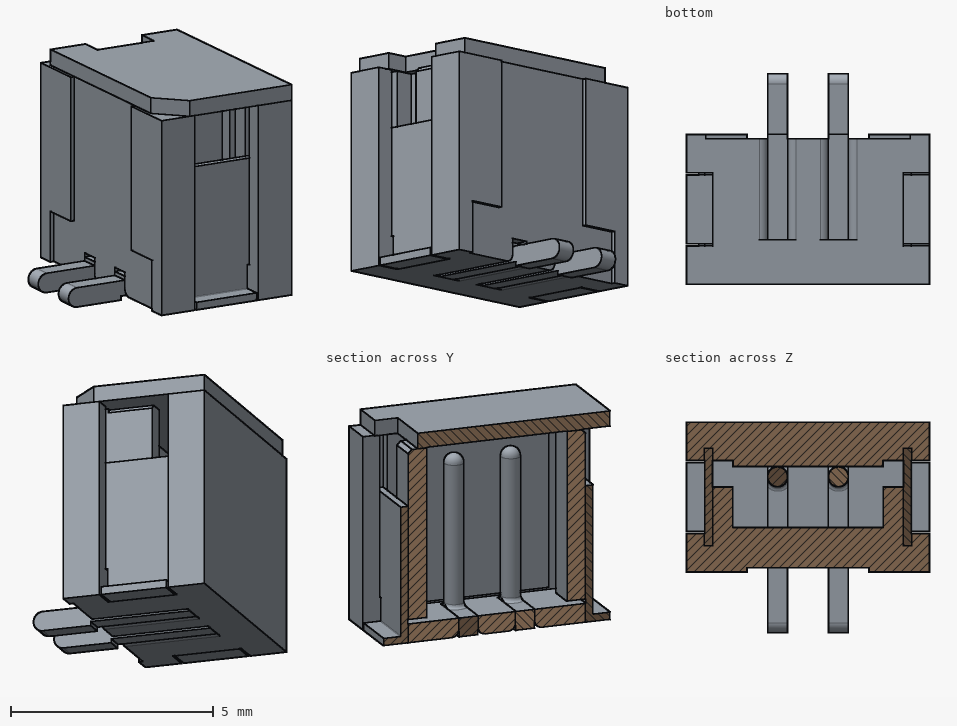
import cadquery as cq


LENGTH = 6.0
DEPTH = 3.7
HEIGHT = 5.0
CENTRE_Y = -DEPTH / 2
RELIEF = 0.1
FRONT_FACE_Y = RELIEF - DEPTH
PAD_WIDTH = 1.5
PAD_FOOT_WIDTH = 0.475
PAD_STEP_Z = 1.3

FLOOR_Z = 0.6
END_WALL_X = 0.65
END_WALL_THICKNESS = 0.5
CAVITY_X = END_WALL_X + END_WALL_THICKNESS
END_CHAMFER = 0.1

PIN_SIZE = 0.5
PIN_PITCH = 1.5
PIN_Y = -1.35
PIN_XS = [LENGTH / 2 - PIN_PITCH / 2, LENGTH / 2 + PIN_PITCH / 2]
PIN_BACK_Y = PIN_Y + PIN_SIZE / 2
PIN_INNER_Y = PIN_Y - PIN_SIZE / 2
PIN_BASE_TOP = 0.5
PIN_TIP_Z = 4.45
POST_FILLET = 0.1
TAIL_LENGTH = 1.5
TAIL_BOTTOM = -0.1
TAIL_TOP = TAIL_BOTTOM + PIN_SIZE
CHANNEL_ROUNDING = 0.2

OPENING_WIDTH = 1.8
TAB_THICKNESS = 0.2
TAB_OUTER_X = END_WALL_X - TAB_THICKNESS
TAB_FOOT_WIDTH = 1.7
TAB_PLATE_WIDTH = 2.4
TAB_PLATE_BOTTOM = 0.805
TAB_TOP = 3.54
TAB_BEND_RADIUS = 0.01

CAP_THICKNESS = 0.4
CAP_CENTRE_Y = FRONT_FACE_Y / 2
CAP_SETBACK = 0.3
CAP_NOTCH_END_X = 0.9
CAP_NOTCH_WIDTH = 1.6
CAP_CORNER = 0.7

OPENING_BACK_Y = CENTRE_Y + OPENING_WIDTH / 2
CAVITY_WIDTH = 2 * (PIN_BACK_Y - CENTRE_Y)


def block(x_range, y_range, z_range):
    """Box spanning the given ranges."""
    (x0, x1), (y0, y1), (z0, z1) = x_range, y_range, z_range
    return cq.Workplane("XY").box(x1 - x0, y1 - y0, z1 - z0, centered=False).translate((x0, y0, z0))


def centred_block(x_range, width, z_range):
    """Box with its width in Y centred on the housing depth."""
    return block(x_range, (CENTRE_Y - width / 2, CENTRE_Y + width / 2), z_range)


def mirrored(body):
    """The same body at the opposite X end of the connector."""
    return body.mirror("YZ", (LENGTH / 2, 0, 0))


def front_relief():
    """Shallow setback of the front face, wider near the underside."""
    y_range = (-DEPTH, FRONT_FACE_Y)
    upper = block((PAD_WIDTH, LENGTH - PAD_WIDTH), y_range, (0, HEIGHT))
    lower = block((PAD_FOOT_WIDTH, LENGTH - PAD_FOOT_WIDTH), y_range, (0, PAD_STEP_Z))
    return upper.union(lower)


def end_cutout():
    """Opening, tab slot, end-wall notch and end-wall chamfer at the low-X end."""
    opening = centred_block((0, END_WALL_X), OPENING_WIDTH, (0, HEIGHT))
    tab_slot = centred_block((TAB_OUTER_X, END_WALL_X), TAB_PLATE_WIDTH, (TAB_PLATE_BOTTOM, HEIGHT))
    notch = block((END_WALL_X, CAVITY_X), (PIN_INNER_Y, OPENING_BACK_Y), (FLOOR_Z, HEIGHT))
    chamfer = (
        cq.Workplane("XZ", origin=(END_WALL_X, OPENING_BACK_Y, HEIGHT))
        .polyline([(0, 0), (END_CHAMFER, 0), (0, -END_CHAMFER)])
        .close()
        .extrude(OPENING_WIDTH)
    )
    return opening.union(tab_slot).union(notch).union(chamfer)


def pin_channel(x):
    """Slot from the front face to the post, with rounded lower edges."""
    half = PIN_SIZE / 2
    flared = half + CHANNEL_ROUNDING
    return (
        cq.Workplane("XZ", origin=(x, PIN_BACK_Y, 0))
        .moveTo(-flared, 0)
        .radiusArc((-half, CHANNEL_ROUNDING), -CHANNEL_ROUNDING)
        .lineTo(-half, FLOOR_Z)
        .lineTo(half, FLOOR_Z)
        .lineTo(half, CHANNEL_ROUNDING)
        .radiusArc((flared, 0), -CHANNEL_ROUNDING)
        .close()
        .extrude(PIN_BACK_Y + DEPTH)
    )


def make_housing():
    body = block((0, LENGTH), (-DEPTH, 0), (0, HEIGHT))
    body = body.cut(front_relief())
    body = body.cut(centred_block((CAVITY_X, LENGTH - CAVITY_X), CAVITY_WIDTH, (FLOOR_Z, HEIGHT)))
    body = body.cut(
        centred_block((END_WALL_X, LENGTH - END_WALL_X), OPENING_WIDTH, (PIN_BASE_TOP, FLOOR_Z))
    )
    for cutout in (end_cutout(), mirrored(end_cutout())):
        body = body.cut(cutout)
    for x in PIN_XS:
        body = body.cut(pin_channel(x))
    return body


def post_root(x):
    """Fillet where the post meets the base, trimmed to the width of the base."""
    radius = PIN_SIZE / 2
    ring_radius = radius + POST_FILLET
    flare = (
        cq.Workplane("XZ", origin=(x, PIN_Y, PIN_BASE_TOP))
        .lineTo(ring_radius, 0)
        .radiusArc((radius, POST_FILLET), POST_FILLET)
        .lineTo(0, POST_FILLET)
        .close()
        .revolve(360, (0, 0), (0, 1))
    )
    trim = block(
        (x - radius, x + radius),
        (PIN_Y - ring_radius, PIN_BACK_Y),
        (PIN_BASE_TOP, PIN_BASE_TOP + POST_FILLET),
    )
    return flare.intersect(trim)


def make_pin(x):
    """Square base and round-nosed tail in one side outline, with a domed round post."""
    nose_radius = PIN_SIZE / 2
    nose_y = -DEPTH - TAIL_LENGTH
    base = (
        cq.Workplane("YZ", origin=(x - PIN_SIZE / 2, 0, 0))
        .moveTo(PIN_BACK_Y, 0)
        .lineTo(-DEPTH, 0)
        .lineTo(-DEPTH, TAIL_BOTTOM)
        .lineTo(nose_y + nose_radius, TAIL_BOTTOM)
        .threePointArc((nose_y, TAIL_BOTTOM + nose_radius), (nose_y + nose_radius, TAIL_TOP))
        .lineTo(FRONT_FACE_Y, TAIL_TOP)
        .lineTo(FRONT_FACE_Y, PIN_BASE_TOP)
        .lineTo(PIN_BACK_Y, PIN_BASE_TOP)
        .close()
        .extrude(PIN_SIZE)
    )
    dome_z = PIN_TIP_Z - nose_radius
    post = (
        cq.Workplane("XY", origin=(x, PIN_Y, PIN_BASE_TOP))
        .circle(nose_radius)
        .extrude(dome_z - PIN_BASE_TOP)
    )
    dome = cq.Workplane("XY", origin=(x, PIN_Y, dome_z)).sphere(nose_radius)
    return base.union(post).union(post_root(x)).union(dome)


def make_tab():
    """L-shaped solder tab at the low-X end: foot, narrow leg and wide plate."""
    foot = centred_block((0, END_WALL_X), TAB_FOOT_WIDTH, (0, TAB_THICKNESS))
    leg = centred_block((TAB_OUTER_X, END_WALL_X), TAB_FOOT_WIDTH, (0, TAB_PLATE_BOTTOM))
    plate = centred_block((TAB_OUTER_X, END_WALL_X), TAB_PLATE_WIDTH, (TAB_PLATE_BOTTOM, TAB_TOP))
    tab = foot.union(leg).union(plate)
    bend = cq.selectors.NearestToPointSelector((TAB_OUTER_X, CENTRE_Y, TAB_THICKNESS))
    return tab.edges(bend).fillet(TAB_BEND_RADIUS)


def make_cap():
    """Flat cap with one cut corner and a notch at the low-X end."""
    z_range = (HEIGHT, HEIGHT + CAP_THICKNESS)
    plate = block((CAP_SETBACK, LENGTH), (FRONT_FACE_Y, 0), z_range)
    plate = plate.edges("|Z and >X and <Y").chamfer(CAP_CORNER)
    notch_y_range = (CAP_CENTRE_Y - CAP_NOTCH_WIDTH / 2, CAP_CENTRE_Y + CAP_NOTCH_WIDTH / 2)
    return plate.cut(block((CAP_SETBACK, CAP_NOTCH_END_X), notch_y_range, z_range))


housing = make_housing()
pins = [make_pin(x) for x in PIN_XS]
tabs = [make_tab(), mirrored(make_tab())]
cap = make_cap()

result = cq.Compound.makeCompound(
    [housing.val(), cap.val()] + [pin.val() for pin in pins] + [tab.val() for tab in tabs]
)